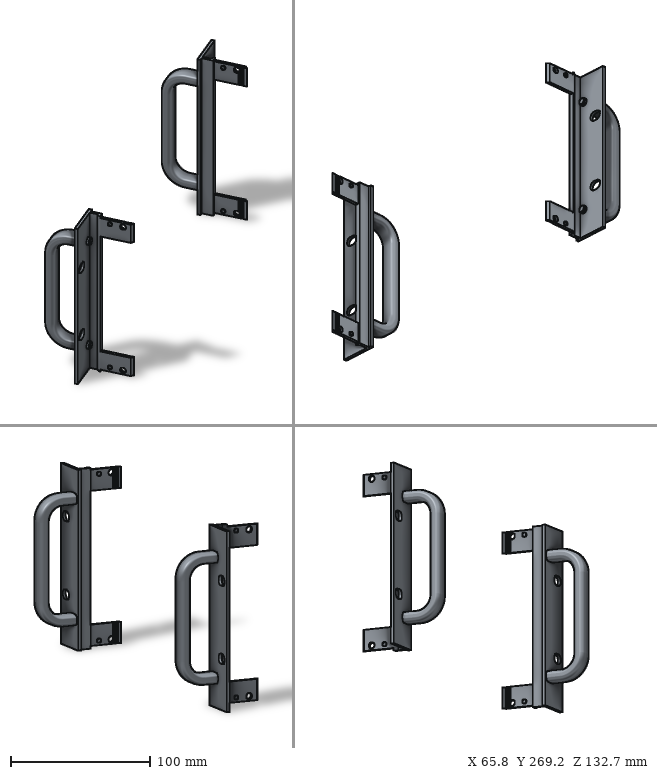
import cadquery as cq
import math


overall_width = 269.2
plate_height = 132.7
plate_width = 28.0
plate_thickness = 2.5
plate_inner_y = overall_width / 2 - plate_width

slot_length = 10.0
slot_height = 7.3
slot_pitch = 57.3
slot_y = overall_width / 2 - 8.0

flange_y = plate_inner_y + 2.5
flange_thickness = 2.2
flange_end_x = 11.3
lip_start_x = 8.0
lip_round_radius = 2.2
lip_slope = math.radians(45)

ear_y = plate_inner_y + 4.0
ear_thickness = 2.5
ear_inner_y = ear_y + ear_thickness
ear_height = 15.5
ear_end_x = 36.5
ear_edge_gap = 1.5
ear_chamfer = 2.0
ear_feature_inset = 3.5
ear_hole_diameter = 4.5
ear_hole_x = 28.8
boss_diameter = 3.2
boss_x = 18.5
boss_depth = 0.8

groove_count = 4
groove_pitch = 1.0
groove_depth = 0.5
groove_start_x = 30.0

handle_reach = 29.3
handle_width = 12.0
handle_thickness = 8.0
handle_edge_radius = 3.0
handle_pitch = 88.8
handle_bend_radius = 14.8
handle_y = plate_inner_y + 8.0

head_diameter = 6.0
head_top_diameter = 4.5
head_height = 2.5
head_side_height = 1.5
shank_diameter = 4.0
shank_depth_in_handle = 5.5

screw_heights = (-handle_pitch / 2, handle_pitch / 2)


def cylinder_along_x(diameter, start_x, length, y, z):
    return cq.Workplane("YZ", origin=(start_x, y, z)).circle(diameter / 2).extrude(length)


def cylinder_along_y(diameter, x, start_y, length, z):
    return cq.Workplane("XZ", origin=(x, start_y, z)).circle(diameter / 2).extrude(-length)


def make_plate():
    plate = cq.Workplane("XY").box(plate_thickness, plate_width, plate_height, centered=(False, False, True))
    plate = plate.translate((0, plate_inner_y, 0))
    slots = (
        cq.Workplane("YZ", origin=(0, slot_y, 0))
        .pushPoints([(0, -slot_pitch / 2), (0, slot_pitch / 2)])
        .slot2D(slot_length, slot_height)
        .extrude(plate_thickness)
    )
    bores = [cylinder_along_x(shank_diameter, 0, plate_thickness, handle_y, z) for z in screw_heights]
    return plate.cut(slots).cut(bores[0]).cut(bores[1])


def make_flange():
    flange_inner_y = flange_y + flange_thickness
    round_start_x = flange_end_x - lip_round_radius * math.sin(lip_slope)
    round_start_y = ear_inner_y - lip_round_radius * (1 - math.cos(lip_slope))
    round_mid_x = flange_end_x - lip_round_radius * math.sin(lip_slope / 2)
    round_mid_y = ear_inner_y - lip_round_radius * (1 - math.cos(lip_slope / 2))
    return (
        cq.Workplane("XY", origin=(0, 0, -plate_height / 2))
        .moveTo(plate_thickness, flange_y)
        .lineTo(flange_end_x, flange_y)
        .lineTo(flange_end_x, ear_inner_y)
        .threePointArc((round_mid_x, round_mid_y), (round_start_x, round_start_y))
        .lineTo(lip_start_x, flange_inner_y)
        .lineTo(plate_thickness, flange_inner_y)
        .close()
        .extrude(plate_height)
    )


def make_top_ear():
    top_z = plate_height / 2 - ear_edge_gap
    feature_z = top_z - ear_feature_inset
    ear = (
        cq.Workplane("XY", origin=(0, 0, top_z - ear_height))
        .moveTo(flange_end_x, ear_y)
        .lineTo(ear_end_x, ear_y)
        .lineTo(ear_end_x, ear_inner_y - ear_chamfer)
        .lineTo(ear_end_x - ear_chamfer, ear_inner_y)
        .lineTo(flange_end_x, ear_inner_y)
        .close()
        .extrude(ear_height)
    )
    for index in range(groove_count):
        x = groove_start_x + index * groove_pitch
        groove = (
            cq.Workplane("XY", origin=(0, 0, top_z - ear_height))
            .moveTo(x, ear_y)
            .lineTo(x + groove_pitch / 2, ear_y + groove_depth)
            .lineTo(x + groove_pitch, ear_y)
            .close()
            .extrude(ear_height)
        )
        ear = ear.cut(groove)
    ear = ear.cut(cylinder_along_y(ear_hole_diameter, ear_hole_x, ear_y, ear_thickness, feature_z))
    ear = ear.union(cylinder_along_y(boss_diameter, boss_x, ear_y - boss_depth, boss_depth, feature_z))
    return ear.cut(cylinder_along_y(boss_diameter, boss_x, ear_inner_y - boss_depth, boss_depth, feature_z))


def make_bracket():
    top_ear = make_top_ear()
    return make_plate().union(make_flange()).union(top_ear).union(top_ear.mirror("XY"))


def make_handle():
    grip_x = handle_thickness / 2 - handle_reach
    leg_z = handle_pitch / 2
    bend_x = grip_x + handle_bend_radius
    bend_z = leg_z - handle_bend_radius
    bend_offset = handle_bend_radius * math.cos(math.radians(45))
    path = (
        cq.Workplane("XZ", origin=(0, handle_y, 0))
        .moveTo(0, leg_z)
        .lineTo(bend_x, leg_z)
        .threePointArc((bend_x - bend_offset, bend_z + bend_offset), (grip_x, bend_z))
        .lineTo(grip_x, -bend_z)
        .threePointArc((bend_x - bend_offset, -bend_z - bend_offset), (bend_x, -leg_z))
        .lineTo(0, -leg_z)
    )
    section = cq.Sketch().rect(handle_width, handle_thickness).vertices().fillet(handle_edge_radius)
    handle = cq.Workplane("YZ", origin=(0, handle_y, leg_z)).placeSketch(section).sweep(path)
    for z in screw_heights:
        bore = cylinder_along_x(shank_diameter, -shank_depth_in_handle, shank_depth_in_handle, handle_y, z)
        handle = handle.cut(bore)
    return handle


def make_screw(z):
    head = cylinder_along_x(head_diameter, plate_thickness, head_height, handle_y, z)
    bevel_height = head_height - head_side_height
    bevel_width = (head_diameter - head_top_diameter) / 2
    head = head.faces(">X").chamfer(bevel_height, bevel_width)
    shank_length = plate_thickness + shank_depth_in_handle
    return head.union(cylinder_along_x(shank_diameter, -shank_depth_in_handle, shank_length, handle_y, z))


bracket = make_bracket()
handle = make_handle()
screws = [make_screw(z) for z in screw_heights]

bodies = []
for body in [bracket, handle, *screws]:
    bodies.append(body.val())
    bodies.append(body.mirror("XZ").val())

result = cq.Compound.makeCompound(bodies)